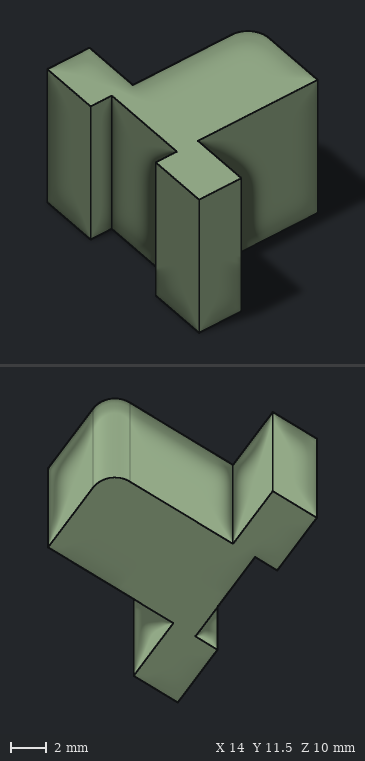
import cadquery as cq

height = 10.0
flange_width = 14.0
flange_thickness = 3.0
stem_width = 6.0
total_depth = 11.5
groove_depth = 1.5
corner_radius = 1.5

stem_length = total_depth - flange_thickness


def block(width, depth, front_y):
    """Full-height block centred on X, starting at front_y and growing toward +Y."""
    return (
        cq.Workplane("XY")
        .box(width, depth, height, centered=(True, False, False))
        .translate((0, front_y, 0))
    )


def make_stem():
    """Stem behind the flange, with its -X rear vertical edge rounded."""
    stem = block(stem_width, stem_length, flange_thickness)
    return stem.edges("|Z").edges(">Y").edges("<X").fillet(corner_radius)


def make_flange():
    """Flange with a full-height groove, as wide as the stem, in its front face."""
    flange = block(flange_width, flange_thickness, 0)
    groove = block(stem_width, groove_depth, 0)
    return flange.cut(groove)


result = make_flange().union(make_stem())